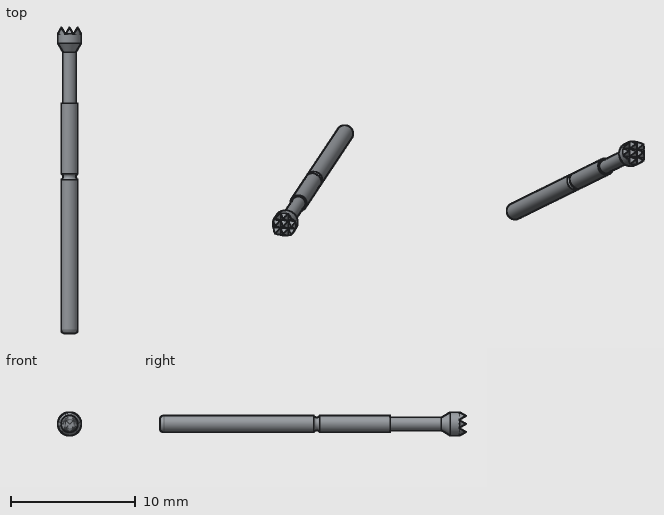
import cadquery as cq
import math


total_length = 24.6
barrel_length = 18.5
head_length = 2.0
cone_length = 0.72
groove_centre = 12.6
groove_width = 0.48

barrel_diameter = 1.36
plunger_diameter = 1.1
head_diameter = 1.91
cone_neck_diameter = 1.04
groove_depth = 0.15

end_round = 0.3

tips_per_row = 3
tip_pitch = 0.645
serration_angle = 60.0
cut_clearance = 0.2

barrel_radius = barrel_diameter / 2
plunger_radius = plunger_diameter / 2
head_radius = head_diameter / 2
cone_neck_radius = cone_neck_diameter / 2
cone_start = total_length - head_length
cone_end = cone_start + cone_length
serration_depth = tip_pitch / 2 / math.tan(math.radians(serration_angle / 2))


def make_barrel():
    """Barrel with a rounded rear end and an arc-shaped crimp groove around it."""
    groove_start = groove_centre - groove_width / 2
    groove_end = groove_centre + groove_width / 2
    groove_bottom = (barrel_radius - groove_depth, groove_centre)
    bend = end_round * (1 - math.cos(math.radians(45)))
    return (
        cq.Workplane("XY")
        .moveTo(0, 0)
        .lineTo(barrel_radius - end_round, 0)
        .threePointArc((barrel_radius - bend, bend), (barrel_radius, end_round))
        .lineTo(barrel_radius, groove_start)
        .threePointArc(groove_bottom, (barrel_radius, groove_end))
        .lineTo(barrel_radius, barrel_length)
        .lineTo(0, barrel_length)
        .close()
        .revolve(360, (0, 0, 0), (0, 1, 0))
    )


def make_plunger():
    """Thin plunger shaft that joins the barrel to the head."""
    return (
        cq.Workplane("XZ", origin=(0, barrel_length, 0))
        .circle(plunger_radius)
        .extrude(barrel_length - cone_start)
    )


def make_head():
    """Head that widens in a cone from a neck, slightly thinner than the plunger, to a short cylinder."""
    return (
        cq.Workplane("XY")
        .moveTo(0, cone_start)
        .lineTo(cone_neck_radius, cone_start)
        .lineTo(head_radius, cone_end)
        .lineTo(head_radius, total_length)
        .lineTo(0, total_length)
        .close()
        .revolve(360, (0, 0, 0), (0, 1, 0))
    )


def make_v_groove(offset):
    """V-groove along Z across the contact face, with its bottom line at X = offset."""
    bottom = total_length - serration_depth
    top = total_length + cut_clearance
    half_width = (top - bottom) * math.tan(math.radians(serration_angle / 2))
    return (
        cq.Workplane("XY")
        .moveTo(offset, bottom)
        .lineTo(offset + half_width, top)
        .lineTo(offset - half_width, top)
        .close()
        .extrude(head_radius + cut_clearance, both=True)
    )


def cut_serrations(body):
    """Cut V-grooves in both directions; the outermost ones bevel the rim."""
    for index in range(tips_per_row + 1):
        groove = make_v_groove((index - tips_per_row / 2) * tip_pitch)
        crossing_groove = groove.rotate((0, 0, 0), (0, 1, 0), 90)
        body = body.cut(groove).cut(crossing_groove)
    return body


head = cut_serrations(make_head())
result = make_barrel().union(make_plunger()).union(head)